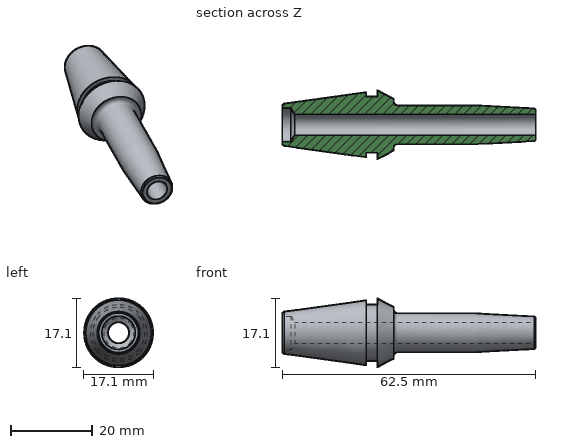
import cadquery as cq
import math

total_length = 62.5
cone_end = 20.75
groove_end = 23.45
collar_end = 27.5
shaft_end = 48.0

nose_face_radius = 4.9
nose_radius = 5.25
cone_large_radius = 8.05
groove_radius = 7.0
collar_diameter = 17.05
collar_large_radius = collar_diameter / 2
collar_small_radius = 6.4
shaft_radius = 4.8
tip_radius = 4.05

nose_bevel_length = 0.5
tip_chamfer = 0.4
shaft_fillet = 0.95

bore_radius = 2.55
counterbore_radius = 4.1
counterbore_depth = 2.1
drill_point_angle = 118.0


def make_body():
    """Revolve the stepped, tapered outer profile about the X axis."""
    fillet_top = shaft_radius + shaft_fillet
    fillet_end = collar_end + shaft_fillet
    arc_offset = shaft_fillet * math.sqrt(0.5)
    fillet_middle = (fillet_end - arc_offset, fillet_top - arc_offset)
    profile = (
        cq.Workplane("XY")
        .moveTo(0, 0)
        .lineTo(0, nose_face_radius)
        .lineTo(nose_bevel_length, nose_radius)
        .lineTo(cone_end, cone_large_radius)
        .lineTo(cone_end, groove_radius)
        .lineTo(groove_end, groove_radius)
        .lineTo(groove_end, collar_large_radius)
        .lineTo(collar_end, collar_small_radius)
        .lineTo(collar_end, fillet_top)
        .threePointArc(fillet_middle, (fillet_end, shaft_radius))
        .lineTo(shaft_end, shaft_radius)
        .lineTo(total_length - tip_chamfer, tip_radius)
        .lineTo(total_length, tip_radius - tip_chamfer)
        .lineTo(total_length, 0)
        .close()
    )
    return profile.revolve(360, (0, 0, 0), (1, 0, 0))


def make_bore():
    """Through bore with a drilled, cone-bottomed counterbore at the nose."""
    half_angle = math.radians(drill_point_angle / 2)
    cone_depth = (counterbore_radius - bore_radius) / math.tan(half_angle)
    profile = (
        cq.Workplane("XY")
        .moveTo(0, 0)
        .lineTo(0, counterbore_radius)
        .lineTo(counterbore_depth, counterbore_radius)
        .lineTo(counterbore_depth + cone_depth, bore_radius)
        .lineTo(total_length, bore_radius)
        .lineTo(total_length, 0)
        .close()
    )
    return profile.revolve(360, (0, 0, 0), (1, 0, 0))


result = make_body().cut(make_bore())